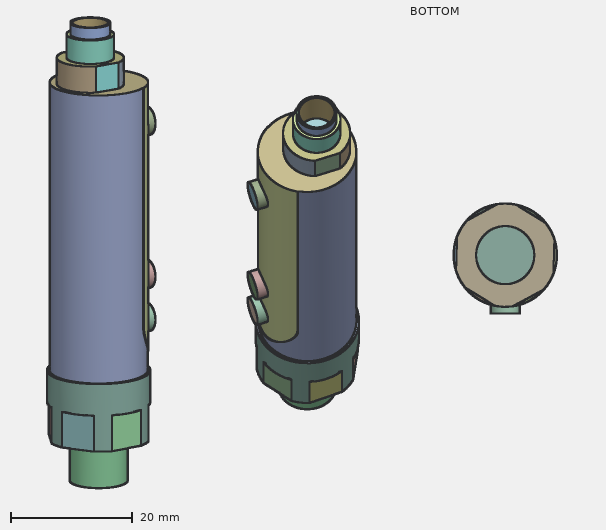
import cadquery as cq

stub_top = 7.3
hex_top = 13.4
collar_top = 18.8
body_top = 67.9
nut_top = 72.35
plug_top = 76.35
total_height = 78.3

stub_diameter = 9.55
collar_diameter = 17.0
body_diameter = 16.1
hex_across_flats = 16.0
hex_turn = 1.7

connector_y = -1.65
nut_diameter = 11.05
nut_across_flats = 10.1
plug_diameter = 7.8
tip_diameter = 6.6
bore_diameter = 5.9
bore_depth = total_height - nut_top

cover_width = 13.8
cover_diameter = 16.3
cover_round_z = 27.4

button_diameter = 4.8
overall_depth = 18.1
button_tip_y = overall_depth - collar_diameter / 2
button_heights = [26.5, 33.8, 59.9]


def cylinder(diameter, bottom, top, y=0):
    """Vertical cylinder between two heights."""
    return cq.Workplane("XY", origin=(0, y, bottom)).circle(diameter / 2).extrude(top - bottom)


def make_hex():
    """Round section with six flats that leave arcs at the corners."""
    prism = (
        cq.Workplane("XY", origin=(0, 0, stub_top))
        .polygon(6, hex_across_flats, circumscribed=True)
        .extrude(hex_top - stub_top)
        .rotate((0, 0, 0), (0, 0, 1), hex_turn)
    )
    return cylinder(collar_diameter, stub_top, hex_top).intersect(prism)


def make_cover():
    """Curved cover, trimmed to straight sides and a semicircular lower end."""
    half_width = cover_width / 2
    arched = cylinder(cover_diameter, collar_top, body_top)
    trim = (
        cq.Workplane("XZ")
        .moveTo(-half_width, body_top)
        .lineTo(-half_width, cover_round_z)
        .threePointArc((0, cover_round_z - half_width), (half_width, cover_round_z))
        .lineTo(half_width, body_top)
        .close()
        .extrude(-collar_diameter)
    )
    return arched.intersect(trim)


def make_nut():
    """Connector nut with two flats facing +X and -X."""
    height = nut_top - body_top
    flats = cq.Workplane("XY", origin=(0, connector_y, body_top)).rect(nut_across_flats, nut_diameter)
    return cylinder(nut_diameter, body_top, nut_top, connector_y).intersect(flats.extrude(height))


def make_button(height):
    """Round button pointing toward +Y."""
    return cq.Workplane("XZ", origin=(0, 0, height)).circle(button_diameter / 2).extrude(-button_tip_y)


result = (
    cylinder(stub_diameter, 0, stub_top)
    .union(make_hex())
    .union(cylinder(collar_diameter, hex_top, collar_top))
    .union(cylinder(body_diameter, collar_top, body_top))
    .union(make_cover())
    .union(make_nut())
    .union(cylinder(plug_diameter, nut_top, plug_top, connector_y))
    .union(cylinder(tip_diameter, plug_top, total_height, connector_y))
)

for button_height in button_heights:
    result = result.union(make_button(button_height))

result = result.cut(cylinder(bore_diameter, total_height - bore_depth, total_height, connector_y))